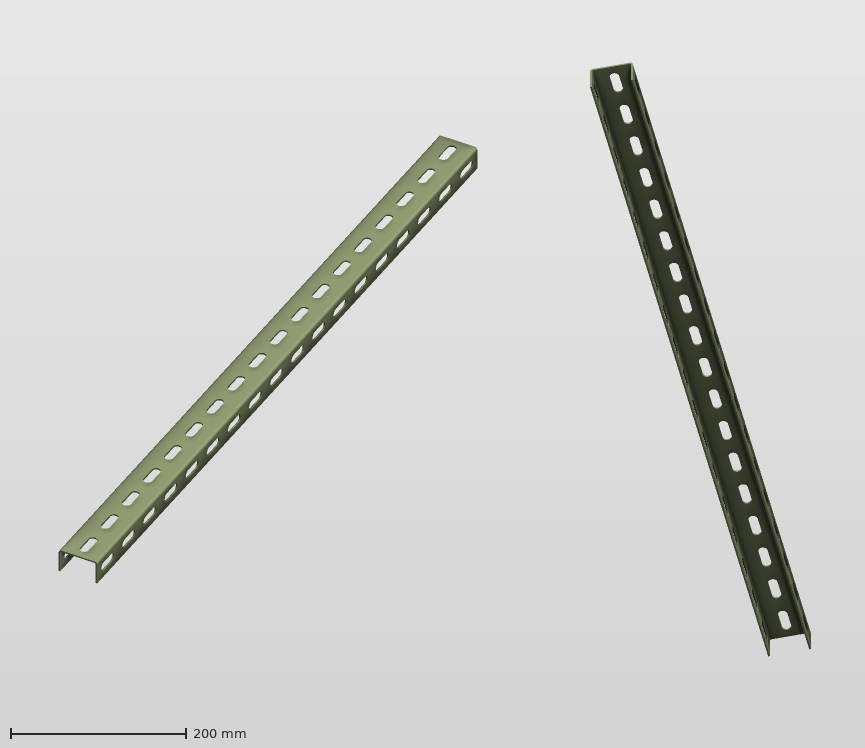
import cadquery as cq

length = 900.0
width = 50.0
height = 30.0
thickness = 2.0
inner_radius = 1.5
outer_radius = inner_radius + thickness

slot_pitch = 50.0
slot_count = round(length / slot_pitch)
slot_length = 30.0
slot_width = 11.0
flange_slot_z = 14.5


def block(block_width, block_height, corner_radius):
    """Full-length bar standing on Z = 0 with its two top edges rounded."""
    bar = cq.Workplane("XY").box(block_width, length, block_height, centered=(True, True, False))
    return bar.edges("|Y and >Z").fillet(corner_radius)


def channel():
    """Bent sheet channel: a web on top and two flanges pointing down."""
    outside = block(width, height, outer_radius)
    inside = block(width - 2 * thickness, height - thickness, inner_radius)
    return outside.cut(inside)


def slot_centres():
    """Positions along Y of the slots, centred on the channel length."""
    first = -(slot_count - 1) * slot_pitch / 2
    return [first + index * slot_pitch for index in range(slot_count)]


def web_slots():
    """Cutters for the row of slots down the middle of the web."""
    web_underside = height - thickness
    row = cq.Workplane("XY", origin=(0, 0, web_underside))
    row = row.pushPoints([(0, y) for y in slot_centres()])
    return row.slot2D(slot_length, slot_width, 90).extrude(thickness)


def flange_slots():
    """Cutters for the row of slots that passes through both flanges."""
    row = cq.Workplane("YZ").pushPoints([(y, flange_slot_z) for y in slot_centres()])
    return row.slot2D(slot_length, slot_width).extrude(width / 2, both=True)


result = channel().cut(web_slots()).cut(flange_slots())